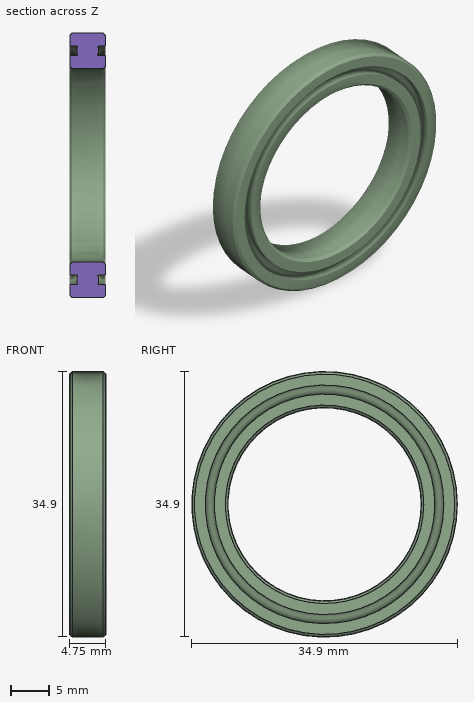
import cadquery as cq
import math

outer_diameter = 34.92
bore_diameter = 25.4
width = 4.75
edge_chamfer = 0.35

groove_outer_radius = 15.68
groove_inner_radius = 14.5
floor_arc_radius = 1.45
groove_middle_radius = (groove_outer_radius + groove_inner_radius) / 2
groove_half_width = (groove_outer_radius - groove_inner_radius) / 2


def ring_body():
    """Flat ring centred on the origin, with all four rims chamfered."""
    ring = (
        cq.Workplane("YZ", origin=(-width / 2, 0, 0))
        .circle(outer_diameter / 2)
        .circle(bore_diameter / 2)
        .extrude(width)
    )
    return ring.faces("<X or >X").edges().chamfer(edge_chamfer)


def face_groove(side):
    """Groove cutter for the end face on the given side (-1 or +1) of X."""
    face_x = side * width / 2
    crown_x = side * floor_arc_radius
    floor_edge_x = side * math.sqrt(floor_arc_radius**2 - groove_half_width**2)
    return (
        cq.Workplane("XY")
        .moveTo(face_x, groove_inner_radius)
        .lineTo(floor_edge_x, groove_inner_radius)
        .threePointArc((crown_x, groove_middle_radius), (floor_edge_x, groove_outer_radius))
        .lineTo(face_x, groove_outer_radius)
        .close()
        .revolve(360, (0, 0), (1, 0))
    )


result = ring_body()
for side in (-1, 1):
    result = result.cut(face_groove(side))